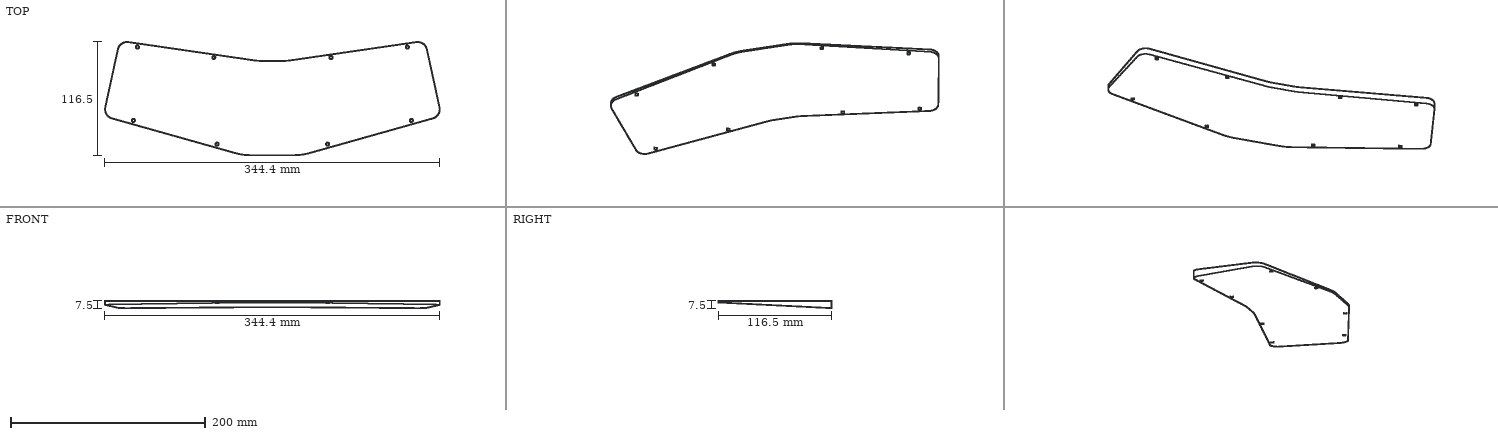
import cadquery as cq

depth = 116.5
back_thickness = 7.5
front_thickness = 1.7

front_y = -depth / 2
back_y = depth / 2
front_bend = (30.5, front_y)
front_corner = (174.0, -18.0)
back_corner = (157.0, 59.5)
back_bend = (14.8, 39.0)
corner_radius = 10.0
bend_radius = 50.0

margin = 3.5

hole_diameter = 3.0
hole_places = [(138.8, 53.0), (60.3, 42.5), (143.0, -22.5), (56.8, -46.8)]


def mirrored(point):
    """Return the matching point on the other side of X = 0."""
    x, y = point
    return (-x, y)


def rounded_plate():
    """Full-thickness plate with its top at Z = 0 and rounded vertical edges."""
    half = [front_bend, front_corner, back_corner, back_bend]
    outline = half + [mirrored(point) for point in reversed(half)]
    plate = cq.Workplane("XY").polyline(outline).close().extrude(-back_thickness)
    bend_limit = (front_bend[0] + front_corner[0]) / 2
    middle = cq.selectors.BoxSelector((-bend_limit, -depth, -depth), (bend_limit, depth, depth))
    upright = cq.selectors.ParallelDirSelector(cq.Vector(0, 0, 1))
    plate = plate.edges(upright - middle).fillet(corner_radius)
    return plate.edges(upright & middle).fillet(bend_radius)


def taper_wedge():
    """Side profile from thin front to thick back, wider than the plate."""
    slope = (back_thickness - front_thickness) / depth
    profile = [
        (front_y - margin, 0),
        (back_y + margin, 0),
        (back_y + margin, -back_thickness - slope * margin),
        (front_y - margin, -front_thickness + slope * margin),
    ]
    width = 2 * (front_corner[0] + margin)
    return cq.Workplane("YZ").polyline(profile).close().extrude(width / 2, both=True)


all_holes = hole_places + [mirrored(place) for place in hole_places]
holes = cq.Workplane("XY").pushPoints(all_holes).circle(hole_diameter / 2).extrude(-back_thickness)

result = rounded_plate().intersect(taper_wedge()).cut(holes)